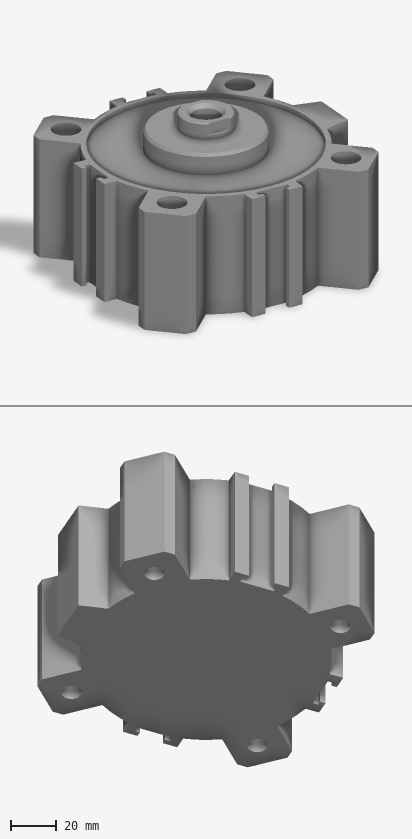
import cadquery as cq

housing_height = 57.0
barrel_diameter = 110.1
half_width = 60.0
overall_depth = 126.0

recess_diameter = 105.0
recess_depth = 2.5
collar_diameter = 55.0
collar_top = 64.6
collar_bevel_height = 1.4
collar_bevel_width = 1.0

lug_width = 25.8
lug_reach = 75.5
lug_angles = (45, 135, 225, 315)
hole_offset = 44.6
bolt_hole_diameter = 9.0
counterbore_diameter = 13.5
counterbore_depth = 8.6

rail_width = 26.0
slot_mouth_width = 12.1
slot_inner_width = 16.3
slot_lip_thickness = 2.5
slot_depth = 5.2
rail_angles = (180, 270, 0)

rib_tip_y = overall_depth - half_width
rib_tip_width = 22.3
rib_base_y = 52.9
rib_base_width = 28.7

rod_diameter = 25.0
rod_top = 72.5
rod_bottom = 31.5
rod_edge_chamfer = 0.5
flat_spacing = 22.0
flat_height = 5.5
rod_bore_diameter = 13.9
rod_bore_depth = 25.2
rod_mouth_diameter = 17.5


def cylinder(diameter, bottom, top):
    return cq.Workplane("XY").workplane(offset=bottom).circle(diameter / 2).extrude(top - bottom)


def block_along_x(x_start, x_end, width):
    """Full-height block centred on the X axis."""
    return (
        cq.Workplane("XY")
        .center((x_start + x_end) / 2, 0)
        .rect(x_end - x_start, width)
        .extrude(housing_height)
    )


def turned(shape, angle):
    return shape.rotate((0, 0, 0), (0, 0, 1), angle)


def make_lugs():
    arm = block_along_x(0, lug_reach, lug_width)
    lugs = turned(arm, lug_angles[0])
    for angle in lug_angles[1:]:
        lugs = lugs.union(turned(arm, angle))
    limit = cq.Workplane("XY").rect(2 * half_width, 2 * half_width).extrude(housing_height)
    return lugs.intersect(limit)


def make_t_slot():
    mouth = block_along_x(half_width - slot_depth, half_width, slot_mouth_width)
    inner = block_along_x(half_width - slot_depth, half_width - slot_lip_thickness, slot_inner_width)
    return mouth.union(inner)


def make_rib():
    return (
        cq.Workplane("XY")
        .moveTo(0, 0)
        .lineTo(rib_base_width / 2, rib_base_y)
        .lineTo(rib_tip_width / 2, rib_tip_y)
        .lineTo(-rib_tip_width / 2, rib_tip_y)
        .lineTo(-rib_base_width / 2, rib_base_y)
        .close()
        .extrude(housing_height)
    )


def make_collar():
    radius = collar_diameter / 2
    return (
        cq.Workplane("XZ")
        .moveTo(0, 0)
        .lineTo(radius, 0)
        .lineTo(radius, collar_top - collar_bevel_height)
        .lineTo(radius - collar_bevel_width, collar_top)
        .lineTo(0, collar_top)
        .close()
        .revolve(360, (0, 0, 0), (0, 1, 0))
    )


def make_housing():
    body = cylinder(barrel_diameter, 0, housing_height)
    body = body.union(make_lugs()).union(make_rib())

    rail = block_along_x(0, half_width, rail_width)
    t_slot = make_t_slot()
    for angle in rail_angles:
        body = body.union(turned(rail, angle)).cut(turned(t_slot, angle))

    body = body.cut(cylinder(recess_diameter, housing_height - recess_depth, housing_height))
    body = body.union(make_collar())

    body = (
        body.cut(cylinder(rod_diameter, rod_bottom, collar_top))
        .copyWorkplane(cq.Workplane("XY").workplane(offset=housing_height))
        .rect(2 * hole_offset, 2 * hole_offset, forConstruction=True)
        .vertices()
        .cboreHole(bolt_hole_diameter, counterbore_diameter, counterbore_depth)
    )
    return body


def make_rod():
    rod = cylinder(rod_diameter, rod_bottom, rod_top).faces(">Z").edges().chamfer(rod_edge_chamfer)

    flat_zone = cylinder(rod_diameter, rod_top - flat_height, rod_top)
    between_flats = (
        cq.Workplane("XY")
        .workplane(offset=rod_top - flat_height)
        .rect(flat_spacing, rod_diameter)
        .extrude(flat_height)
    )
    rod = rod.cut(flat_zone.cut(between_flats))

    mouth_depth = (rod_mouth_diameter - rod_bore_diameter) / 2
    return (
        rod.copyWorkplane(cq.Workplane("XY").workplane(offset=rod_top))
        .circle(rod_bore_diameter / 2)
        .cutBlind(-rod_bore_depth)
        .copyWorkplane(cq.Workplane("XY").workplane(offset=rod_top))
        .circle(rod_mouth_diameter / 2)
        .cutBlind(-mouth_depth, taper=45)
    )


housing = make_housing()
rod = make_rod()
result = cq.Compound.makeCompound([housing.solids().val(), rod.solids().val()])